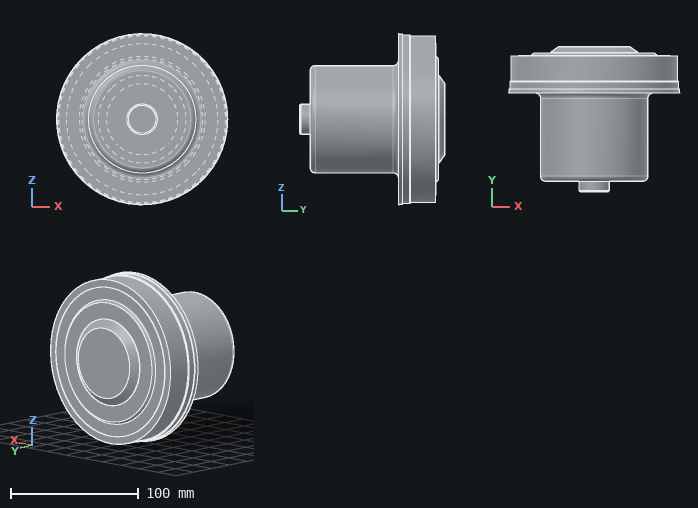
import cadquery as cq

total_length = 113.8

pin_radius = 11.9
pin_length = 8.3
pin_chamfer = 1.1

body_radius = 42.1
body_length = 69.0
body_round = 4.0

flange_radius = 67.0
flange_rim_radius = 66.6
flange_thickness = 3.1

collar_radius = 66.0
collar_thickness = 6.3
collar_chamfer = 0.5

drum_radius = 65.3
drum_length = 19.7

step_radius = 59.2
step_height = 0.4

ring_radius = 49.3
ring_height = 2.0
ring_chamfer = 2.0

cap_base_radius = 34.3
cap_lip_height = 0.4
cap_top_radius = 27.9

pin_tip = -total_length / 2
body_start = pin_tip + pin_length
flange_start = body_start + body_length
collar_start = flange_start + flange_thickness
drum_start = collar_start + collar_thickness
step_start = drum_start + drum_length
ring_start = step_start + step_height
cap_start = ring_start + ring_height
cap_end = total_length / 2

half_section = (
    cq.Workplane("XY")
    .moveTo(0, pin_tip)
    .lineTo(pin_radius - pin_chamfer, pin_tip)
    .lineTo(pin_radius, pin_tip + pin_chamfer)
    .lineTo(pin_radius, body_start)
    .lineTo(body_radius - body_round, body_start)
    .radiusArc((body_radius, body_start + body_round), -body_round)
    .lineTo(body_radius, flange_start - body_round)
    .radiusArc((body_radius + body_round, flange_start), body_round)
    .lineTo(flange_radius, flange_start)
    .lineTo(flange_rim_radius, collar_start)
    .lineTo(collar_radius, collar_start)
    .lineTo(collar_radius, drum_start - collar_chamfer)
    .lineTo(collar_radius - collar_chamfer, drum_start)
    .lineTo(drum_radius, drum_start)
    .lineTo(drum_radius, step_start)
    .lineTo(step_radius, step_start)
    .lineTo(step_radius, ring_start)
    .lineTo(ring_radius, ring_start)
    .lineTo(ring_radius - ring_chamfer, cap_start)
    .lineTo(cap_base_radius, cap_start)
    .lineTo(cap_base_radius, cap_start + cap_lip_height)
    .lineTo(cap_top_radius, cap_end)
    .lineTo(0, cap_end)
    .close()
)

result = half_section.revolve(360, (0, 0, 0), (0, 1, 0))